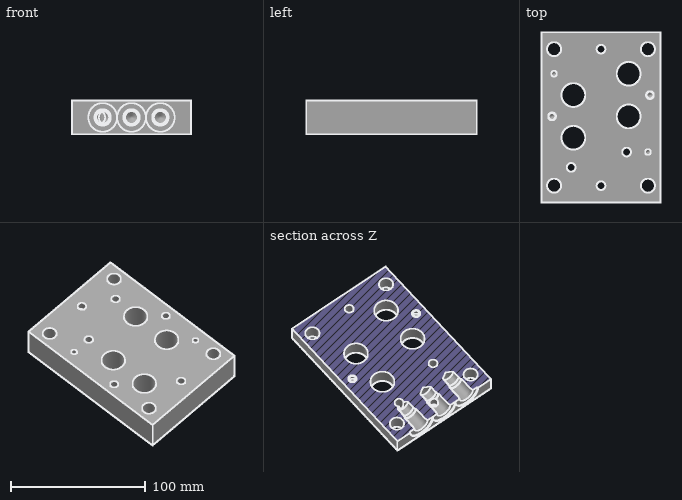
import cadquery as cq
import math

LENGTH_X = 88.9
LENGTH_Y = 127.0
HEIGHT = 25.4
TOP = HEIGHT / 2
FRONT = -LENGTH_Y / 2

DRILL_POINT_ANGLE = 118.0
POINT_SLOPE = 1 / math.tan(math.radians(DRILL_POINT_ANGLE / 2))

BOLT_X = 34.9
BOLT_Y = 50.8
BOLT_DIAMETER = 10.3
CENTRE_HOLE_DIAMETER = 6.4

PORT_X = 20.6
PORT_PITCH = 31.8
LEFT_PORT_Y = 16.6
RIGHT_PORT_Y = 32.5
MAIN_PORT_DIAMETER = 17.5

PILOT_DIAMETER = 6.4
PILOT_POSITIONS = [(-22.2, -37.2), (19.0, -25.8)]

PIN_DIAMETER = 4.3
PIN_DEPTH = 10.2
PIN_POSITIONS = [(-34.9, 32.5), (34.9, -25.8)]

SCREW_POSITIONS = [(-36.5, 0.8), (36.5, 16.6)]
SCREW_DIAMETER = 6.0
SCREW_DEPTH = 12.7
SCREW_CORE_DIAMETER = 5.0
SCREW_CORE_DEPTH = 16.5

SIDE_PORT_PITCH = 21.5
SPOTFACE_DIAMETER = 21.3
SPOTFACE_DEPTH = 0.8
SEAT_DIAMETER = 12.3
SEAT_DEPTH = 2.5
THREAD_DIAMETER = 11.2
THREAD_DEPTH = 14.0
TAP_DIAMETER = 9.9
TAP_DEPTH = 16.5
CORE_DIAMETER = 9.5
CORE_TIP_DEPTH = 25.5


def turned(profile):
    """Revolve a (radius, depth) profile about the depth axis, pointing down from the origin."""
    points = [(radius, -depth) for radius, depth in profile]
    return cq.Workplane("XZ").polyline(points).close().revolve(360, (0, 0), (0, 1))


def through_holes(points, diameter):
    return cq.Workplane("XY").workplane(offset=-TOP).pushPoints(points).circle(diameter / 2).extrude(HEIGHT)


def pin_hole():
    radius = PIN_DIAMETER / 2
    return turned([(0, 0), (radius, 0), (radius, PIN_DEPTH), (0, PIN_DEPTH + radius * POINT_SLOPE)])


def screw_hole():
    radius = SCREW_DIAMETER / 2
    core = SCREW_CORE_DIAMETER / 2
    return turned([
        (0, 0),
        (radius, 0),
        (radius, SCREW_DEPTH),
        (core, SCREW_DEPTH),
        (core, SCREW_CORE_DEPTH),
        (0, SCREW_CORE_DEPTH + core * POINT_SLOPE),
    ])


def side_port():
    """Spotface, conical seal seat, thread, tap step and drilled core, bored along +Y."""
    spotface = SPOTFACE_DIAMETER / 2
    seat = SEAT_DIAMETER / 2
    thread = THREAD_DIAMETER / 2
    tap = TAP_DIAMETER / 2
    core = CORE_DIAMETER / 2
    port = turned([
        (0, 0),
        (spotface, 0),
        (spotface, SPOTFACE_DEPTH),
        (seat, SPOTFACE_DEPTH),
        (thread, SPOTFACE_DEPTH + SEAT_DEPTH),
        (thread, THREAD_DEPTH),
        (tap, THREAD_DEPTH),
        (tap, TAP_DEPTH),
        (core, TAP_DEPTH),
        (core, CORE_TIP_DEPTH - core * POINT_SLOPE),
        (0, CORE_TIP_DEPTH),
    ])
    return port.rotate((0, 0, 0), (1, 0, 0), 90)


bolt_points = [(x, y) for x in (-BOLT_X, BOLT_X) for y in (-BOLT_Y, BOLT_Y)]
centre_points = [(0, -BOLT_Y), (0, BOLT_Y)]
port_points = [
    (-PORT_X, LEFT_PORT_Y),
    (-PORT_X, LEFT_PORT_Y - PORT_PITCH),
    (PORT_X, RIGHT_PORT_Y),
    (PORT_X, RIGHT_PORT_Y - PORT_PITCH),
]

result = cq.Workplane("XY").box(LENGTH_X, LENGTH_Y, HEIGHT)
result = result.cut(through_holes(bolt_points, BOLT_DIAMETER))
result = result.cut(through_holes(centre_points, CENTRE_HOLE_DIAMETER))
result = result.cut(through_holes(port_points, MAIN_PORT_DIAMETER))
result = result.cut(through_holes(PILOT_POSITIONS, PILOT_DIAMETER))

for x, y in PIN_POSITIONS:
    result = result.cut(pin_hole().translate((x, y, TOP)))

for x, y in SCREW_POSITIONS:
    result = result.cut(screw_hole().translate((x, y, TOP)))

for x in (-SIDE_PORT_PITCH, 0, SIDE_PORT_PITCH):
    result = result.cut(side_port().translate((x, FRONT, 0)))